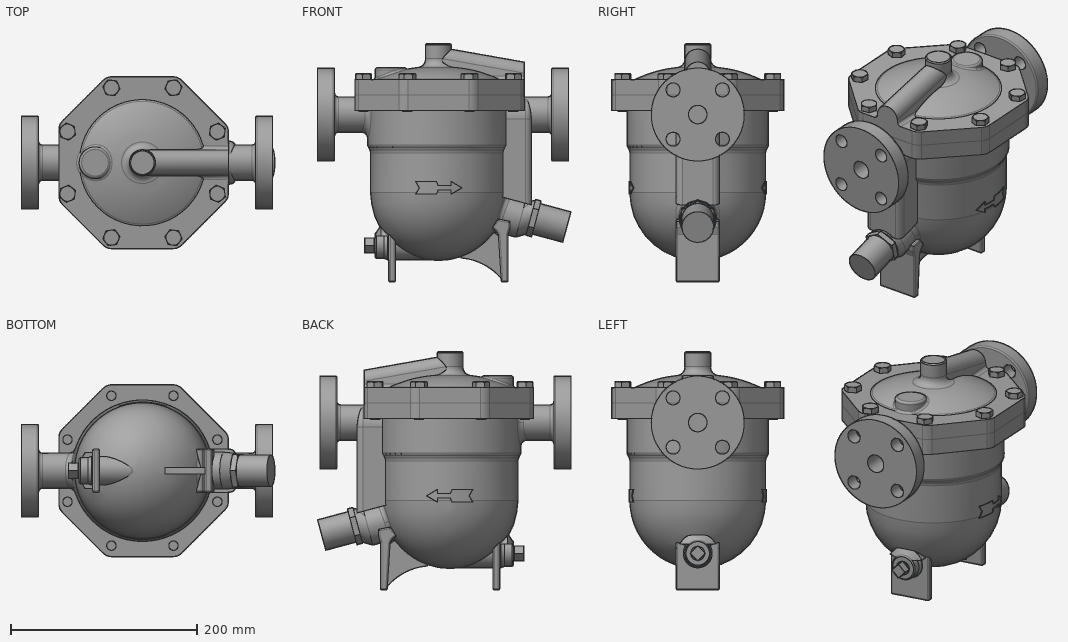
import cadquery as cq
import math


FLANGE_DIA = 100.0
FLANGE_THICK = 18.5
FLANGE_EDGE = 1.5
INLET_FACE_X = -130.0
OUTLET_FACE_X = 140.0
PIPE_DIA = 38.0
PIPE_FILLET = 3.8
INLET_ROOT_FILLET = 6.8
BORE_DIA = 20.0
FLANGE_HOLE_DIA = 15.0
FLANGE_HOLE_CIRCLE = 75.0

UPPER_R = 76.0
LOWER_R = 73.0
STEP_TOP_Z = -32.7
STEP_ROUND_R = 75.0
STEP_ROUND_Z = -35.5
STEP_MID_R = 73.8
STEP_MID_Z = -37.9
STEP_LOW_Z = -41.0
BOWL_Z = -84.0

RIM_WIDTH = 185.0
RIM_LEFT_X = -90.0
RIM_CORNER_R = 13.5
RIM_BOTTOM_Z = 4.0
RIM_JOINT_Z = 21.2
RIM_TOP_Z = 37.5
RIM_HALF = RIM_WIDTH / 2
HALF_SIDE_ANGLE = 22.5

BOLT_COUNT = 8
BOLT_CIRCLE_R = 87.2
BOLT_HEAD_CORNERS = 18.5
BOLT_HEAD_HEIGHT = 6.3
BOLT_HEAD_CHAMFER = 1.0
BOLT_END_DIA = 10.0
BOLT_END_LENGTH = 0.8

NOZZLE_R = 14.03
NOZZLE_TOP_Z = 76.3
NOZZLE_CHAMFER = 1.4
NOZZLE_ROOT_Z = 60.5
FLARE_R = 22.3
FLARE_Z = 50.7
FLARE_MID_R = 16.0
FLARE_MID_Z = 53.7
DOME_MID_R = 46.5
DOME_MID_Z = 45.8
DOME_EDGE_R = 66.0
DOME_EDGE_Z = 38.5
DOME_SKIRT_R = 67.8
LID_BOSS_X = -51.0
LID_BOSS_R = 17.02
LID_BOSS_TOP_Z = 50.5
LID_BOSS_ROUND = 2.7
LID_BOSS_FILLET = 2.7

PASSAGE_R = 13.3
PASSAGE_SLOPE = 10.0
PASSAGE_DRAFT = 7.0
PASSAGE_END_TOP_Z = 56.5
PASSAGE_FILLET = 4.0

LEG_R = 23.2
LEG_TOP_CENTER_Z = -4.5
LEG_OUTER_X = 100.2
LEG_EDGE_R = 6.5
LEG_OVERLAP = 1.4

SPIGOT_ANGLE = 15.0
SPIGOT_REACH_X = 142.5
SPIGOT_R = 17.02
STRAINER_BOSS_R = 20.0
STRAINER_BOSS_DROP = 5.0
STRAINER_BOSS_END = 92.5
TAPER_END_R = 18.8
HEX_START = 102.7
HEX_END = 109.0
HEX_CORNERS = 40.0
HEX_TURN = 30.0
STRAINER_FILLET = 5.5

DRAIN_Z = -140.5
DRAIN_FACE_X = -68.0
DRAIN_RING_R = 14.03
DRAIN_RING_END_X = -58.5
DRAIN_RING_CHAMFER = 1.4
DRAIN_TUBE_R = 15.5
DRAIN_NECK_DIA = 15.0
DRAIN_NECK_LENGTH = 1.4
DRAIN_SQUARE_DIAGONAL = 16.3
DRAIN_SQUARE_END_X = -79.3
DRAIN_TUBE_X = -54.5
DRAIN_FLARE_R = 21.8
DRAIN_FLARE_X = -61.8

FOOT_BOTTOM_Z = -179.8
FOOT_WIDTH = 46.3
FOOT_THICK = 7.4
FOOT_EDGE = 1.5
LEFT_FOOT_X = -53.5
LEFT_FOOT_TOP_Z = -128.8
RIGHT_FOOT_X = 75.0
RIGHT_FOOT_SHOULDER_Z = -132.0
RIGHT_FOOT_HEAD_LEFT_X = 55.8
RIGHT_FOOT_HEAD_RIGHT_X = 77.0
RIGHT_FOOT_HEAD_LOW_Z = -121.5
RIGHT_FOOT_HEAD_TOP_Z = -112.2
RIGHT_FOOT_DRAFT = 3.0
RIB_THICK = 7.4
RIB_START_X = 24.5
RIB_START_Z = -154.2
RIB_MID_X = 49.8
RIB_MID_Z = -161.8

ARROW_Z = -78.7
ARROW_HEIGHT = 0.8

MARGIN = 0.3


def x_cylinder(radius, start_x, end_x, z=0.0):
    return cq.Workplane("YZ", origin=(start_x, 0, z)).circle(radius).extrude(end_x - start_x)


def edges_inside(low_corner, high_corner):
    """Selector for the edges that lie wholly inside a box."""
    return cq.selectors.BoxSelector(low_corner, high_corner, boundingbox=True)


def make_shell():
    """Stepped body with a hemispherical bowl, turned about Z from the YZ plane.

    This keeps the seam of the surfaces clear of the features on the X axis.
    """
    bowl_mid = LOWER_R * math.sqrt(0.5)
    return (
        cq.Workplane("YZ")
        .moveTo(0, RIM_JOINT_Z)
        .lineTo(UPPER_R, RIM_JOINT_Z)
        .lineTo(UPPER_R, STEP_TOP_Z)
        .tangentArcPoint((STEP_ROUND_R, STEP_ROUND_Z), relative=False)
        .lineTo(STEP_MID_R, STEP_MID_Z)
        .tangentArcPoint((LOWER_R, STEP_LOW_Z), relative=False)
        .lineTo(LOWER_R, BOWL_Z)
        .threePointArc((bowl_mid, BOWL_Z - bowl_mid), (0, BOWL_Z - LOWER_R))
        .close()
        .revolve(360, (0, 0, 0), (0, 1, 0))
    )


def make_rim(bottom_z, top_z):
    """Octagonal slab whose inlet side is cut slightly short."""
    half_flat = RIM_HALF * math.tan(math.radians(HALF_SIDE_ANGLE))
    left_half_flat = half_flat + RIM_HALF + RIM_LEFT_X
    corners = [
        (RIM_HALF, -half_flat),
        (RIM_HALF, half_flat),
        (half_flat, RIM_HALF),
        (-half_flat, RIM_HALF),
        (RIM_LEFT_X, left_half_flat),
        (RIM_LEFT_X, -left_half_flat),
        (-half_flat, -RIM_HALF),
        (half_flat, -RIM_HALF),
    ]
    slab = cq.Workplane("XY", origin=(0, 0, bottom_z)).polyline(corners).close()
    return slab.extrude(top_z - bottom_z).edges("|Z").fillet(RIM_CORNER_R)


def make_bolt():
    """Bolt on the X axis: hexagon head above the rim, round end below it."""
    head = (
        cq.Workplane("XY", origin=(BOLT_CIRCLE_R, 0, RIM_TOP_Z))
        .polygon(6, BOLT_HEAD_CORNERS)
        .extrude(BOLT_HEAD_HEIGHT)
    )
    rounding = (
        cq.Workplane("XY", origin=(BOLT_CIRCLE_R, 0, RIM_TOP_Z))
        .circle(BOLT_HEAD_CORNERS / 2)
        .extrude(BOLT_HEAD_HEIGHT)
        .faces(">Z")
        .chamfer(BOLT_HEAD_CHAMFER)
    )
    shank = (
        cq.Workplane("XY", origin=(BOLT_CIRCLE_R, 0, RIM_BOTTOM_Z - BOLT_END_LENGTH))
        .circle(BOLT_END_DIA / 2)
        .extrude(RIM_TOP_Z - RIM_BOTTOM_Z + BOLT_END_LENGTH)
    )
    return head.intersect(rounding).union(shank)


def make_dome():
    """Lid dome with its centre nozzle, turned about Z."""
    return (
        cq.Workplane("XZ")
        .moveTo(0, RIM_JOINT_Z)
        .lineTo(DOME_SKIRT_R, RIM_JOINT_Z)
        .lineTo(DOME_SKIRT_R, RIM_TOP_Z)
        .lineTo(DOME_EDGE_R, DOME_EDGE_Z)
        .threePointArc((DOME_MID_R, DOME_MID_Z), (FLARE_R, FLARE_Z))
        .threePointArc((FLARE_MID_R, FLARE_MID_Z), (NOZZLE_R, NOZZLE_ROOT_Z))
        .lineTo(NOZZLE_R, NOZZLE_TOP_Z - NOZZLE_CHAMFER)
        .lineTo(NOZZLE_R - NOZZLE_CHAMFER, NOZZLE_TOP_Z)
        .lineTo(0, NOZZLE_TOP_Z)
        .close()
        .revolve(360, (0, 0, 0), (0, 1, 0))
    )


def make_lid_boss():
    return (
        cq.Workplane("XY", origin=(LID_BOSS_X, 0, RIM_JOINT_Z))
        .circle(LID_BOSS_R)
        .extrude(LID_BOSS_TOP_Z - RIM_JOINT_Z)
        .faces(">Z")
        .edges()
        .fillet(LID_BOSS_ROUND)
    )


def make_passage():
    """Sloping round-topped passage, filled down to the lid and cut flush with its edge."""
    slope = math.radians(PASSAGE_SLOPE)
    draft = math.radians(PASSAGE_DRAFT)
    start_z = PASSAGE_END_TOP_Z - PASSAGE_R / math.cos(slope) + RIM_HALF * math.tan(slope)
    shoulder_y = PASSAGE_R * math.cos(draft)
    shoulder_z = PASSAGE_R * math.sin(draft)
    depth = start_z - RIM_JOINT_Z
    foot_y = shoulder_y + (shoulder_z + depth) * math.tan(draft)
    axis = (math.cos(slope), 0, -math.sin(slope))
    passage = (
        cq.Workplane(cq.Plane((0, 0, start_z), (0, 1, 0), axis))
        .moveTo(-foot_y, -depth)
        .lineTo(-shoulder_y, shoulder_z)
        .threePointArc((0, PASSAGE_R), (shoulder_y, shoulder_z))
        .lineTo(foot_y, -depth)
        .close()
        .extrude(RIM_HALF + 2 * PASSAGE_R)
    )
    envelope = (
        cq.Workplane("XY", origin=(RIM_HALF / 2, 0, RIM_JOINT_Z))
        .rect(RIM_HALF, RIM_WIDTH)
        .extrude(NOZZLE_TOP_Z)
    )
    return passage.intersect(envelope)


def make_flange(face_x, inward):
    """Flange and pipe, before drilling; inward is the X direction from the face to the body."""
    back_x = face_x + inward * FLANGE_THICK
    back_side = ">X" if inward > 0 else "<X"
    disc = x_cylinder(FLANGE_DIA / 2, face_x, back_x)
    disc = disc.faces(back_side).edges().fillet(FLANGE_EDGE)
    pipe = x_cylinder(PIPE_DIA / 2, back_x, 0)
    joint = edges_inside(
        (back_x - MARGIN, -PIPE_DIA, -PIPE_DIA),
        (back_x + MARGIN, PIPE_DIA, PIPE_DIA),
    )
    return disc.union(pipe).edges(joint).fillet(PIPE_FILLET)


def cut_flange_holes(body, face_x, inward):
    back_x = face_x + inward * FLANGE_THICK
    bore = x_cylinder(BORE_DIA / 2, face_x, -inward * UPPER_R)
    hole_offset = FLANGE_HOLE_CIRCLE / 2 * math.sqrt(0.5)
    body = body.cut(bore)
    for y in (-hole_offset, hole_offset):
        for z in (-hole_offset, hole_offset):
            hole = x_cylinder(FLANGE_HOLE_DIA / 2, face_x, back_x, z)
            body = body.cut(hole.translate((0, y, 0)))
    return body


def along_spigot(distance, drop=0.0):
    """Workplane square to the spigot axis; drop shifts it below the axis."""
    angle = math.radians(SPIGOT_ANGLE)
    x = distance * math.cos(angle) - drop * math.sin(angle)
    z = BOWL_Z - distance * math.sin(angle) - drop * math.cos(angle)
    return cq.Workplane(cq.Plane((x, 0, z), (0, 1, 0), (math.cos(angle), 0, -math.sin(angle))))


def make_leg():
    """Vertical passage with a half-round top, ending on the strainer boss."""
    slope = math.tan(math.radians(SPIGOT_ANGLE))
    bottom_z = BOWL_Z + STRAINER_BOSS_R - STRAINER_BOSS_DROP - LEG_OVERLAP
    depth = LEG_TOP_CENTER_Z - bottom_z + LEG_OUTER_X * slope
    leg = (
        cq.Workplane("YZ", origin=(0, 0, LEG_TOP_CENTER_Z))
        .moveTo(-LEG_R, 0)
        .threePointArc((0, LEG_R), (LEG_R, 0))
        .lineTo(LEG_R, -depth)
        .lineTo(-LEG_R, -depth)
        .close()
        .extrude(LEG_OUTER_X)
        .faces(">X")
        .edges("not <Z")
        .fillet(LEG_EDGE_R)
    )
    below_boss = (
        cq.Workplane("XZ")
        .polyline([
            (0, bottom_z),
            (LEG_OUTER_X, bottom_z - LEG_OUTER_X * slope),
            (LEG_OUTER_X, FOOT_BOTTOM_Z),
            (0, FOOT_BOTTOM_Z),
        ])
        .close()
        .extrude(2 * LEG_R, both=True)
    )
    return leg.cut(below_boss)


def make_strainer_boss():
    return along_spigot(0, STRAINER_BOSS_DROP).circle(STRAINER_BOSS_R).extrude(STRAINER_BOSS_END)


def make_spigot():
    """Taper from the boss to the hexagon collar, and the plain spigot beyond it."""
    angle = math.radians(SPIGOT_ANGLE)
    length = (SPIGOT_REACH_X - SPIGOT_R * math.sin(angle)) / math.cos(angle)
    taper = cq.Workplane(
        cq.Solid.makeLoft([
            along_spigot(STRAINER_BOSS_END, STRAINER_BOSS_DROP).circle(STRAINER_BOSS_R).wire().val(),
            along_spigot(HEX_START).circle(TAPER_END_R).wire().val(),
        ])
    )
    corner_up = along_spigot(HEX_START).transformed(rotate=(0, 0, HEX_TURN))
    collar = corner_up.polygon(6, HEX_CORNERS).extrude(HEX_END - HEX_START)
    tube = along_spigot(STRAINER_BOSS_END).circle(SPIGOT_R).extrude(length - STRAINER_BOSS_END)
    return taper.union(collar).union(tube)


def make_drain_tube():
    """Drain tube below the bowl with a narrower ring at its mouth, turned about its axis."""
    return (
        cq.Workplane("XY", origin=(0, 0, DRAIN_Z))
        .polyline([
            (DRAIN_FACE_X, 0),
            (DRAIN_FACE_X, DRAIN_RING_R - DRAIN_RING_CHAMFER),
            (DRAIN_FACE_X + DRAIN_RING_CHAMFER, DRAIN_RING_R),
            (DRAIN_RING_END_X, DRAIN_RING_R),
            (DRAIN_TUBE_X, DRAIN_TUBE_R),
            (0, DRAIN_TUBE_R),
            (0, 0),
        ])
        .close()
        .revolve(360, (0, 0, 0), (1, 0, 0))
    )


def make_drain_flare():
    """Flared collar that blends the upper side of the drain ring into the bowl."""
    collar = (
        cq.Workplane("XY", origin=(0, 0, DRAIN_Z))
        .polyline([
            (DRAIN_FACE_X + DRAIN_RING_CHAMFER, 0),
            (DRAIN_FACE_X + DRAIN_RING_CHAMFER, DRAIN_RING_R),
            (DRAIN_FLARE_X, DRAIN_FLARE_R),
            (LEFT_FOOT_X, DRAIN_FLARE_R),
            (LEFT_FOOT_X, 0),
        ])
        .close()
        .revolve(360, (0, 0, 0), (1, 0, 0))
    )
    above_foot = (
        cq.Workplane("XY", origin=(LEFT_FOOT_X, 0, LEFT_FOOT_TOP_Z - FOOT_EDGE))
        .rect(FOOT_WIDTH, FOOT_WIDTH)
        .extrude(FOOT_WIDTH)
    )
    return collar.intersect(above_foot)


def make_plug():
    neck_x = DRAIN_FACE_X - DRAIN_NECK_LENGTH
    neck = x_cylinder(DRAIN_NECK_DIA / 2, neck_x, 0, DRAIN_Z)
    square = (
        cq.Workplane("YZ", origin=(DRAIN_SQUARE_END_X, 0, DRAIN_Z))
        .polygon(4, DRAIN_SQUARE_DIAGONAL)
        .extrude(neck_x - DRAIN_SQUARE_END_X)
    )
    return neck.union(square)


def make_left_foot():
    height = LEFT_FOOT_TOP_Z - FOOT_BOTTOM_Z
    return (
        cq.Workplane("XY", origin=(LEFT_FOOT_X + FOOT_THICK / 2, 0, FOOT_BOTTOM_Z))
        .rect(FOOT_THICK, FOOT_WIDTH)
        .extrude(height)
        .edges("|Z or <Z")
        .fillet(FOOT_EDGE)
    )


def make_right_foot():
    """Foot plate that thickens upward and spreads into a sloping head below the strainer boss."""
    inner_x = RIGHT_FOOT_X - FOOT_THICK
    head_slope = math.tan(math.radians(SPIGOT_ANGLE))
    head_right_z = RIGHT_FOOT_HEAD_TOP_Z - head_slope * (RIGHT_FOOT_HEAD_RIGHT_X - inner_x)
    return (
        cq.Workplane("XZ")
        .moveTo(RIGHT_FOOT_X, FOOT_BOTTOM_Z)
        .lineTo(inner_x, FOOT_BOTTOM_Z)
        .lineTo(inner_x - RIGHT_FOOT_DRAFT, RIGHT_FOOT_SHOULDER_Z)
        .tangentArcPoint((RIGHT_FOOT_HEAD_LEFT_X, RIGHT_FOOT_HEAD_LOW_Z), relative=False)
        .lineTo(inner_x - RIGHT_FOOT_DRAFT, RIGHT_FOOT_HEAD_TOP_Z)
        .lineTo(RIGHT_FOOT_HEAD_RIGHT_X, head_right_z)
        .lineTo(RIGHT_FOOT_HEAD_RIGHT_X, RIGHT_FOOT_HEAD_LOW_Z)
        .lineTo(RIGHT_FOOT_X, RIGHT_FOOT_HEAD_LOW_Z - FOOT_THICK)
        .close()
        .extrude(FOOT_WIDTH / 2, both=True)
        .faces("<Y or >Y or <Z")
        .edges()
        .fillet(FOOT_EDGE)
    )


def make_rib():
    """Centre rib between the bowl and the right foot with a hollow lower edge."""
    inner_x = RIGHT_FOOT_X - FOOT_THICK
    return (
        cq.Workplane("XZ")
        .moveTo(RIB_START_X, RIB_START_Z)
        .threePointArc((RIB_MID_X, RIB_MID_Z), (inner_x + FOOT_EDGE, FOOT_BOTTOM_Z + FOOT_EDGE))
        .lineTo(inner_x, RIGHT_FOOT_SHOULDER_Z)
        .lineTo(0, BOWL_Z)
        .close()
        .extrude(RIB_THICK / 2, both=True)
    )


def make_arrows():
    """Flow arrows pointing to the outlet, raised on the front and rear of the body."""
    tail_x = -24.5
    notch_x = -20.5
    tail_end_x = -2.2
    shaft_x = -0.3
    head_x = 13.5
    tip_x = 25.3
    half_height = 6.8
    half_shaft = 2.5
    upper = [
        (tail_x, half_height),
        (tail_end_x, half_height),
        (shaft_x, half_shaft),
        (head_x, half_shaft),
        (head_x, half_height),
    ]
    lower = [(x, -z) for x, z in reversed(upper)]
    outline = [(notch_x, 0)] + upper + [(tip_x, 0)] + lower
    bar = (
        cq.Workplane("XZ", origin=(0, 0, ARROW_Z))
        .polyline(outline)
        .close()
        .extrude(2 * LOWER_R, both=True)
    )
    skin = (
        cq.Workplane("XY", origin=(0, 0, ARROW_Z - half_height))
        .circle(LOWER_R + ARROW_HEIGHT)
        .circle(LOWER_R - 2 * half_height)
        .extrude(2 * half_height)
    )
    return bar.intersect(skin)


def make_lid():
    lid = make_rim(RIM_JOINT_Z, RIM_TOP_Z).union(make_dome()).union(make_lid_boss())
    boss_root = edges_inside(
        (LID_BOSS_X - LID_BOSS_R - MARGIN, -LID_BOSS_R - MARGIN, RIM_TOP_Z - MARGIN),
        (LID_BOSS_X + LID_BOSS_R + MARGIN, LID_BOSS_R + MARGIN, LID_BOSS_TOP_Z - MARGIN),
    )
    lid = lid.edges(boss_root).fillet(LID_BOSS_FILLET)
    lid = lid.union(make_passage())
    passage_root = edges_inside(
        (NOZZLE_R, -2 * PASSAGE_R, RIM_TOP_Z - MARGIN),
        (RIM_HALF + MARGIN, 2 * PASSAGE_R, FLARE_Z + MARGIN),
    )
    return lid.edges(passage_root).edges("%LINE and (not #X)").fillet(PASSAGE_FILLET)


def make_body():
    """Shell with its rim, pipes and strainer boss blended in."""
    body = make_shell().union(make_flange(INLET_FACE_X, 1))
    pipe_root = edges_inside(
        (-UPPER_R - MARGIN, -PIPE_DIA, -PIPE_DIA),
        (0, PIPE_DIA, PIPE_DIA / 2 + MARGIN),
    )
    body = body.edges(pipe_root).fillet(INLET_ROOT_FILLET)
    body = body.union(make_strainer_boss())
    boss_root = edges_inside(
        (LOWER_R / 2, -STRAINER_BOSS_R - MARGIN, BOWL_Z - LOWER_R),
        (LOWER_R + MARGIN, STRAINER_BOSS_R + MARGIN, BOWL_Z + MARGIN),
    )
    body = body.edges(boss_root).fillet(STRAINER_FILLET)
    for addition in (
        make_rim(RIM_BOTTOM_Z, RIM_JOINT_Z),
        make_leg(),
        make_flange(OUTLET_FACE_X, -1),
        make_spigot(),
        make_drain_tube(),
        make_drain_flare(),
        make_plug(),
        make_left_foot(),
        make_right_foot(),
        make_rib(),
        make_arrows(),
    ):
        body = body.union(addition)
    return body


def make_bolts():
    bolts = cq.Workplane("XY")
    for index in range(BOLT_COUNT):
        turn = (index + 0.5) * 360 / BOLT_COUNT
        bolts = bolts.add(make_bolt().rotate((0, 0, 0), (0, 0, 1), turn))
    return bolts.combine()


body = make_body()
body = cut_flange_holes(body, INLET_FACE_X, 1)
body = cut_flange_holes(body, OUTLET_FACE_X, -1)
result = body.union(make_lid(), clean=False).union(make_bolts(), clean=False)